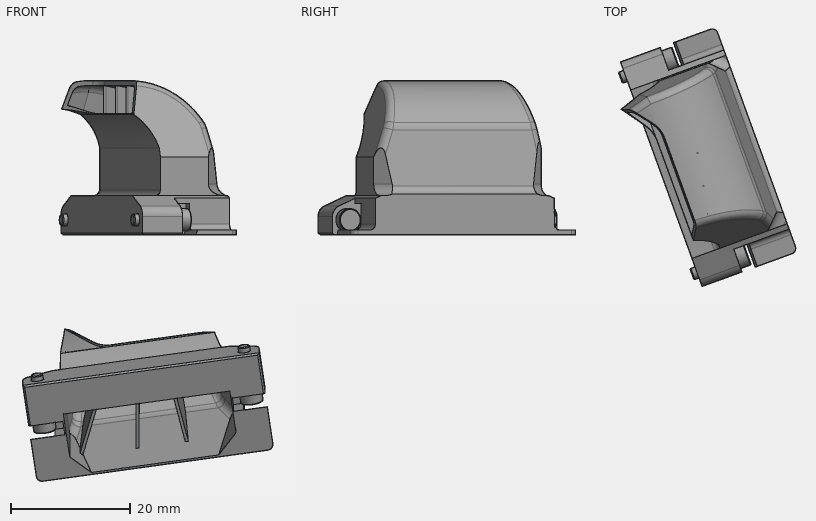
import cadquery as cq
import math

TURN = 20.0

FRONT_X = -8.15
BACK_X = 8.85
HALF_LENGTH = 20.0
WALL_Y = 15.95
TOP_Y = 15.0
TOP_Z = 6.55
BLOCK_BACK_X = -1.05
SHOULDER_ANGLE = 24.0
SHOULDER_ROUND = 2.0
FOOT_CHAMFER = 0.3

FLANGE_FRONT_X = 1.3
FLANGE_THICKNESS = 0.8
FLANGE_ROUND = 1.0

SCREW_Y = 17.5
SCREW_Z = 2.5
SHANK_DIAMETER = 2.0
HOLE_DIAMETER = 2.1
HEAD_DIAMETER = 3.8
HEAD_LENGTH = 1.85
TIP_OVERHANG = 0.9
TIP_CHAMFER = 0.17
HEAD_CHAMFER = 0.15
HEAD_RECESS_BACK_X = 1.7
HEAD_RECESS_Y = 14.25
HEAD_RECESS_Z = 5.25

WALL = 0.8
THROAT_X = -3.15
THROAT_TOP_Z = 14.57
THROAT_RADIUS = 10.0
THROAT_ANGLE = 14.4
LIP_Z = 20.15
LIP_THICKNESS = 0.17
CROWN_X = -6.4
CROWN_Z = 25.85
ROOF_RADIUS = 14.0
BACK_FOOT_X = 8.15
BACK_DRAFT = 10.0
BACK_ROUND = 3.9
SPOUT_X = -12.07
SPOUT_UNDER_Z = 21.17
SPOUT_BULGE = (-8.75, 20.7)
SPOUT_FLOOR_Z = 22.65

NEAR_Y = -TOP_Y
NEAR_TAPER_Z = 13.05
NEAR_TAPER = 21.0
FAR_Y = 14.8
FAR_TAPER_Z = 14.57
FAR_TAPER = 10.0
FACET_X = 5.4
SPOUT_BEND = (-5.7, 13.02, 25.0)
SPOUT_BEND_ANGLE = 16.0
SPOUT_BEND_LEAN = 13.0
RIM_ROUND = 1.4

MOUTH_LEAN = 3.2 / 13.2
FLARE_Y = 7.1
FLARE_ANGLE = 37.0
FLARE_RADIUS = 5.0

FRONT_COVE = 1.0
BACK_COVE = 2.0

RIBS = ((-4.23, -6.0), (0.95, 8.5), (6.85, 24.0))
RIB_THICKNESS = 0.5
RIB_FRONT_X = -5.35

THROAT_CENTER_X = THROAT_X - THROAT_RADIUS * math.cos(math.radians(THROAT_ANGLE))
THROAT_CENTER_Z = THROAT_TOP_Z - THROAT_RADIUS * math.sin(math.radians(THROAT_ANGLE))
LIP_X = THROAT_CENTER_X + math.sqrt(THROAT_RADIUS**2 - (LIP_Z - THROAT_CENTER_Z)**2)

REACH = 43.1


def block(x0, x1, y0, y1, z0, z1):
    """Box between two opposite corners."""
    return cq.Workplane("XY").box(x1 - x0, y1 - y0, z1 - z0, centered=False).translate((x0, y0, z0))


def beyond(point, normal, inset):
    """Everything outside a plane, after the plane has been moved inward by inset."""
    plane = cq.Plane(origin=point, normal=normal)
    return cq.Workplane(plane).workplane(offset=-inset).rect(2 * REACH, 2 * REACH).extrude(REACH)



def make_base():
    drop = math.tan(math.radians(SHOULDER_ANGLE))
    edge_z = TOP_Z - drop * (HALF_LENGTH - TOP_Y)
    profile = [
        (-HALF_LENGTH, 0), (HALF_LENGTH, 0), (HALF_LENGTH, edge_z),
        (TOP_Y, TOP_Z), (-TOP_Y, TOP_Z), (-HALF_LENGTH, edge_z),
    ]
    blocks = (
        cq.Workplane("YZ").workplane(offset=FRONT_X).polyline(profile).close()
        .extrude(BLOCK_BACK_X - FRONT_X)
    )
    for side in (-1, 1):
        blocks = blocks.edges(cq.NearestToPointSelector((
            (FRONT_X + BLOCK_BACK_X) / 2, side * HALF_LENGTH, edge_z))).fillet(SHOULDER_ROUND)
    blocks = blocks.faces("<Z").edges("not >X").chamfer(FOOT_CHAMFER)

    middle = cq.Workplane("YZ").workplane(offset=BLOCK_BACK_X).polyline(profile).close()
    middle = middle.extrude(BACK_X - BLOCK_BACK_X)
    middle = middle.intersect(block(BLOCK_BACK_X, BACK_X, -WALL_Y, WALL_Y, 0, TOP_Z))
    base = blocks.union(middle)
    for side in (-1, 1):
        base = base.union(make_flange(side))
    return base


def make_flange(side):
    """Thin mounting flange with a coved root against the end wall."""
    cove_y = WALL_Y + FLANGE_ROUND
    cove_z = FLANGE_THICKNESS + FLANGE_ROUND
    dip = FLANGE_ROUND * (1 - math.sqrt(0.5))
    flange = (
        cq.Workplane("YZ").workplane(offset=FLANGE_FRONT_X)
        .moveTo(TOP_Y, 0).lineTo(HALF_LENGTH, 0).lineTo(HALF_LENGTH, FLANGE_THICKNESS)
        .lineTo(cove_y, FLANGE_THICKNESS)
        .threePointArc((WALL_Y + dip, FLANGE_THICKNESS + dip), (WALL_Y, cove_z))
        .lineTo(TOP_Y, cove_z).close()
        .extrude(BACK_X - FLANGE_FRONT_X)
    )
    flange = flange.edges("|Z and >X and >Y").fillet(FLANGE_ROUND)
    return flange if side > 0 else flange.mirror("XZ")



def roof_z(x, radius):
    return CROWN_Z - ROOF_RADIUS + math.sqrt(radius**2 - (x - CROWN_X)**2)


def back_x(z):
    return BACK_FOOT_X - (z - TOP_Z) * math.tan(math.radians(BACK_DRAFT))


def throat_point(angle, inset):
    """Point on the concave underside, moved inward by inset."""
    radius = THROAT_RADIUS + inset
    return THROAT_CENTER_X + radius * math.cos(angle), THROAT_CENTER_Z + radius * math.sin(angle)


def roof_back_corner(inset):
    """Corner where the roof arc meets the back face, both moved inward by inset."""
    draft = math.radians(BACK_DRAFT)
    radius = ROOF_RADIUS - inset
    center_z = CROWN_Z - ROOF_RADIUS
    reach = (back_x(center_z) - CROWN_X) * math.cos(draft) - inset
    angle = draft + math.acos(reach / radius)
    return CROWN_X + radius * math.cos(angle), center_z + radius * math.sin(angle)


def hood_section(inset, lip_z, foot_z, spout_z):
    """Section of the hood, or of its cavity when inset is the wall thickness."""
    start_angle = math.asin((THROAT_TOP_Z - THROAT_CENTER_Z) / (THROAT_RADIUS + inset))
    lip_angle = math.asin((lip_z - THROAT_CENTER_Z) / (THROAT_RADIUS + inset))
    start = throat_point(start_angle, inset)
    radius = ROOF_RADIUS - inset
    corner = roof_back_corner(inset)
    slant = inset / math.cos(math.radians(BACK_DRAFT))
    sketch = (
        cq.Workplane("XZ").moveTo(back_x(foot_z) - slant, foot_z)
        .lineTo(start[0], foot_z).lineTo(*start)
        .threePointArc(throat_point((start_angle + lip_angle) / 2, inset), throat_point(lip_angle, inset))
    )
    if inset:
        sketch = sketch.lineTo(LIP_X, lip_z).lineTo(SPOUT_X, spout_z)
    else:
        sketch = sketch.threePointArc(SPOUT_BULGE, (SPOUT_X, spout_z))
    return (
        sketch.lineTo(SPOUT_X, roof_z(SPOUT_X, radius))
        .threePointArc((0, roof_z(0, radius)), corner).close()
    )


def hood_form(inset, lip_z, foot_z, spout_z):
    """Closed shape of the hood with tapered ends, before the mouth is cut."""
    form = hood_section(inset, lip_z, foot_z, spout_z).extrude(TOP_Y, both=True)
    corner_x, corner_z = roof_back_corner(inset)
    form = form.edges(cq.NearestToPointSelector((corner_x, 0, corner_z))).fillet(BACK_ROUND)

    for side, y, taper_z, taper in (
        (-1, NEAR_Y, NEAR_TAPER_Z, NEAR_TAPER), (1, FAR_Y, FAR_TAPER_Z, FAR_TAPER),
    ):
        lean = math.radians(taper)
        form = form.cut(beyond((0, y, 0), (0, side, 0), inset))
        form = form.cut(beyond((0, y, taper_z), (0, side * math.cos(lean), math.sin(lean)), inset))
    bend = math.radians(SPOUT_BEND_ANGLE)
    lean = math.radians(SPOUT_BEND_LEAN)
    normal = (-math.sin(bend) * math.cos(lean), math.cos(bend) * math.cos(lean), math.sin(lean))
    form = form.cut(beyond(SPOUT_BEND, normal, inset))

    rim = [edge for edge in form.edges("not |Y").vals() if is_rim(edge, inset)]
    form = form.newObject(rim).fillet(RIM_ROUND)

    for side in (-1, 1):
        form = form.cut(beyond((FACET_X, side * TOP_Y, 0), (1, side, 0), inset))
    return form


def is_rim(edge, inset):
    """True for edges between an end of the hood and its roof or back."""
    middle = edge.positionAt(0.5)
    from_axis = math.hypot(middle.x - CROWN_X, middle.z - CROWN_Z + ROOF_RADIUS)
    return middle.z > NEAR_TAPER_Z and middle.x > SPOUT_X + 0.45 and from_axis > ROOF_RADIUS - inset - 1.3


def mouth_cutter():
    """Space in front of the leaning mouth, which flares outward near the +Y end."""
    run = TOP_Y - FLARE_Y
    outline = [
        (-REACH, -REACH), (LIP_X, -REACH), (LIP_X, FLARE_Y),
        (LIP_X - run * math.tan(math.radians(FLARE_ANGLE)), TOP_Y), (-REACH, TOP_Y),
    ]
    height = CROWN_Z - LIP_Z + 0.45
    upright = cq.Workplane("XY").polyline(outline).close().extrude(0.45)
    upright = upright.edges(cq.NearestToPointSelector((LIP_X, FLARE_Y, 0.2))).fillet(FLARE_RADIUS)
    face = upright.faces("<Z").val()
    lean = cq.Vector(MOUTH_LEAN * height, 0, height)
    leaning = cq.Solid.extrudeLinear(face.outerWire(), [], lean)
    return cq.Workplane(leaning).translate((0, 0, LIP_Z))


def make_hood_shell():
    """Hood with the coves at its foot, without its cavity."""
    form = hood_form(0, LIP_Z, TOP_Z, SPOUT_UNDER_Z)
    floor_z = TOP_Z - 0.85
    shell = form.union(block(FRONT_X, BACK_X + 4.3, -WALL_Y, WALL_Y, floor_z, TOP_Z))
    front_feet = []
    for point in ((THROAT_X, 0, TOP_Z), (0, FAR_Y, TOP_Z)):
        front_feet += shell.edges(cq.NearestToPointSelector(point)).vals()
    shell = shell.newObject(front_feet).fillet(FRONT_COVE)
    facet_mid = (FACET_X + BACK_FOOT_X) / 2
    facet_y = TOP_Y - (BACK_FOOT_X - FACET_X) / 2
    feet = []
    for point in ((BACK_FOOT_X, 0, TOP_Z), (facet_mid, facet_y, TOP_Z), (facet_mid, -facet_y, TOP_Z)):
        feet += shell.edges(cq.NearestToPointSelector(point)).vals()
    shell = shell.newObject(feet).fillet(BACK_COVE)
    shell = shell.intersect(block(-REACH, BACK_X, -TOP_Y, TOP_Y, floor_z, REACH))
    return shell.cut(mouth_cutter())


def make_ribs(cavity):
    """Thin round-nosed plates fanned across the cavity, above the base."""
    ribs = []
    for y, angle in RIBS:
        slab = block(0, REACH, -RIB_THICKNESS / 2, RIB_THICKNESS / 2, TOP_Z, REACH)
        nose = cq.Workplane("XY").workplane(offset=TOP_Z).circle(RIB_THICKNESS / 2).extrude(REACH - TOP_Z)
        slab = slab.union(nose).rotate((0, 0, 0), (0, 0, 1), angle)
        slab = slab.translate((RIB_FRONT_X + RIB_THICKNESS / 2, y, 0))
        ribs.append(cavity.intersect(slab))
    return ribs



def head_recess(side):
    """Room for a screw head, with a slanted edge where it borders the flange."""
    outline = [
        (BLOCK_BACK_X, 0), (FLANGE_FRONT_X, 0), (HEAD_RECESS_BACK_X, FLANGE_THICKNESS),
        (HEAD_RECESS_BACK_X, HEAD_RECESS_Z), (BLOCK_BACK_X, HEAD_RECESS_Z),
    ]
    start = HEAD_RECESS_Y if side > 0 else -HALF_LENGTH
    recess = cq.Workplane("XZ").workplane(offset=-start).polyline(outline).close()
    return recess.extrude(HEAD_RECESS_Y - HALF_LENGTH)


def make_housing():
    cavity = hood_form(WALL, LIP_Z + LIP_THICKNESS, 0, SPOUT_FLOOR_Z)
    housing = make_base().union(make_hood_shell()).cut(cavity)
    for rib in make_ribs(cavity):
        housing = housing.union(rib)
    for side in (-1, 1):
        housing = housing.cut(head_recess(side))
        hole = cq.Workplane("YZ").workplane(offset=FRONT_X).center(side * SCREW_Y, SCREW_Z)
        housing = housing.cut(hole.circle(HOLE_DIAMETER / 2).extrude(BLOCK_BACK_X - FRONT_X))
    return housing


def make_screw(side):
    tip_x = FRONT_X - TIP_OVERHANG
    shank = cq.Workplane("YZ").workplane(offset=tip_x).circle(SHANK_DIAMETER / 2)
    shank = shank.extrude(BLOCK_BACK_X - tip_x).faces("<X").chamfer(TIP_CHAMFER)
    head = cq.Workplane("YZ").workplane(offset=BLOCK_BACK_X).circle(HEAD_DIAMETER / 2)
    head = head.extrude(HEAD_LENGTH).faces(">X").chamfer(HEAD_CHAMFER)
    return shank.union(head).translate((0, side * SCREW_Y, SCREW_Z))


def turned(body):
    return body.rotate((0, 0, 0), (0, 0, 1), TURN)


housing = turned(make_housing())
screws = [turned(make_screw(side)) for side in (-1, 1)]

result = cq.Compound.makeCompound([housing.val(), *[screw.val() for screw in screws]])